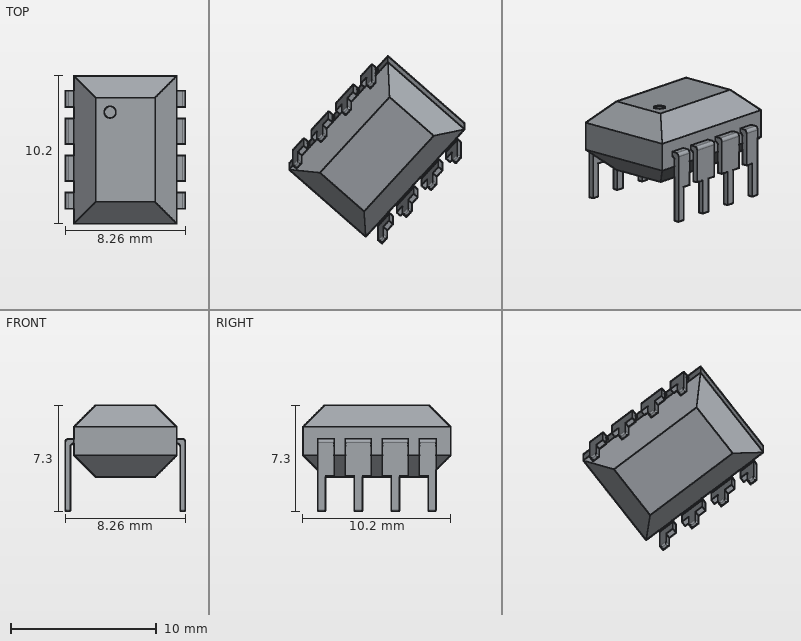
import cadquery as cq

body_width = 7.08
body_length = 10.16
bevel = 1.5
bevel_angle = 45
band_height = 1.94
body_height = band_height + 2 * bevel

dimple_diameter = 0.8
dimple_depth = 0.1
dimple_x = -1.05
dimple_y = 2.58

total_width = 8.26
total_height = 7.3
lead_thickness = 0.38
lead_top_drop = 2.32
outer_bend_radius = 0.22
inner_bend_radius = 0.3
bend_depth = 0.48
arm_thickness = 0.31
lead_embed = 0.2
shoulder_drop = 4.87
lead_pitch = 2.54
shoulder_width = 1.77
pin_width = 0.59
end_lead_outer_y = 4.06
tip_radius = 0.12

lead_top_z = body_height - lead_top_drop
shoulder_z = body_height - shoulder_drop
tip_z = body_height - total_height
lead_outer_x = total_width / 2
lead_inner_x = lead_outer_x - lead_thickness
body_side_x = body_width / 2
lead_root_x = body_side_x - lead_embed


def make_body():
    body = cq.Workplane("XY").workplane(offset=bevel).rect(body_width, body_length).extrude(band_height)
    for side in (">Z", "<Z"):
        body = body.faces(side).wires().toPending().workplane().extrude(bevel, taper=bevel_angle)
    dimple = (
        cq.Workplane("XY")
        .workplane(offset=body_height - dimple_depth)
        .center(dimple_x, dimple_y)
        .circle(dimple_diameter / 2)
        .extrude(dimple_depth)
    )
    return body.cut(dimple)


def make_strip(y_start, y_end, bottom_z):
    """Strip on the +X side that leaves the body and bends straight down."""
    profile = (
        cq.Workplane("XZ", origin=(0, y_start, 0))
        .moveTo(lead_root_x, lead_top_z)
        .lineTo(lead_outer_x, lead_top_z)
        .lineTo(lead_outer_x, bottom_z)
        .lineTo(lead_inner_x, bottom_z)
        .lineTo(lead_inner_x, lead_top_z - bend_depth)
        .radiusArc((body_side_x, lead_top_z - arm_thickness), -inner_bend_radius)
        .lineTo(lead_root_x, lead_top_z - arm_thickness)
        .close()
    )
    strip = profile.extrude(y_start - y_end)
    return strip.edges("|Y and >X and >Z").fillet(outer_bend_radius)


def make_lead(shoulder_start, shoulder_end, pin_start, pin_end):
    shoulder = make_strip(shoulder_start, shoulder_end, shoulder_z)
    pin = make_strip(pin_start, pin_end, tip_z).faces("<Z").edges().fillet(tip_radius)
    return shoulder.union(pin)


def make_leads():
    """Four leads of the +X row: two centred on their pins and two trimmed at the row ends."""
    middle_y = lead_pitch / 2
    end_y = middle_y + lead_pitch
    middle = make_lead(
        middle_y - shoulder_width / 2,
        middle_y + shoulder_width / 2,
        middle_y - pin_width / 2,
        middle_y + pin_width / 2,
    )
    end = make_lead(
        end_y - shoulder_width / 2,
        end_lead_outer_y,
        end_y - pin_width / 2,
        end_lead_outer_y,
    )
    half_row = middle.union(end)
    return half_row.union(half_row.mirror("XZ"))


right_row = make_leads()
left_row = right_row.mirror("YZ")
result = make_body().union(right_row).union(left_row)